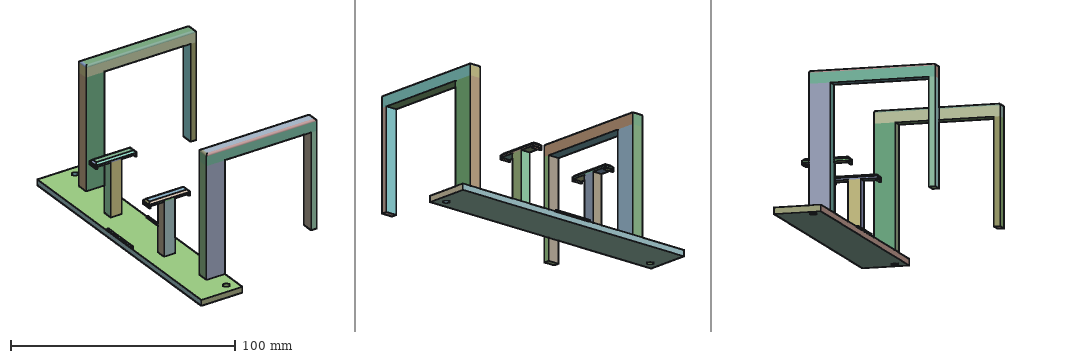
import cadquery as cq

PLATE_LENGTH = 132.5
PLATE_DEPTH = 22.0
PLATE_THICKNESS = 3.0
SCREW_HOLE_DIAMETER = 3.2
SCREW_HOLE_INSET = 5.2

TOTAL_DEPTH = 71.0
TOTAL_HEIGHT = 67.0
FRAME_WIDTH = 6.0
FRAME_LEFT_SIDES = (15.2, 112.5)
POST_DEPTH = 10.0
BEAM_HEIGHT = 6.0
BEAM_FILLET = 1.0
LEG_THICKNESS = 3.0
LEG_LENGTH = 50.0

HOOK_WIDTH = 5.0
HOOK_SPACING = 43.0
COLUMN_HEIGHT = 28.0
COLUMN_DEPTH = 6.0
BAR_THICKNESS = 2.0
BAR_CHAMFER = 1.0

LIP_SIZE = 1.0
LIP_FILLET = 0.46
RAIL_LENGTH = 19.9

plate_middle_x = PLATE_LENGTH / 2
beam_bottom = TOTAL_HEIGHT - BEAM_HEIGHT
beam_front = PLATE_DEPTH - POST_DEPTH
lip_front_sides = (0, PLATE_DEPTH - LIP_SIZE)
bar_bottom = PLATE_THICKNESS + COLUMN_HEIGHT


def block(x, y, z, length, depth, height):
    """Box with its lowest corner at (x, y, z)."""
    return cq.Workplane("XY").box(length, depth, height, centered=False).translate((x, y, z))


def make_plate():
    """Flat plate with a screw hole near each end."""
    plate = block(0, 0, 0, PLATE_LENGTH, PLATE_DEPTH, PLATE_THICKNESS)
    hole_y = PLATE_DEPTH - SCREW_HOLE_INSET
    hole_places = [(SCREW_HOLE_INSET, hole_y), (PLATE_LENGTH - SCREW_HOLE_INSET, hole_y)]
    holes = (
        cq.Workplane("XY")
        .pushPoints(hole_places)
        .circle(SCREW_HOLE_DIAMETER / 2)
        .extrude(PLATE_THICKNESS)
    )
    return plate.cut(holes)


def make_lip(left, y, z, length):
    """Bead along X with its four long edges rounded."""
    lip = block(left, y, z, length, LIP_SIZE, LIP_SIZE)
    return lip.edges("|X").fillet(LIP_FILLET)


def make_hook(left):
    """Column with a chamfered bar on top and a lip under each bar end."""
    column_front = (PLATE_DEPTH - COLUMN_DEPTH) / 2
    column = block(left, column_front, PLATE_THICKNESS, HOOK_WIDTH, COLUMN_DEPTH, COLUMN_HEIGHT)
    bar = block(left, 0, bar_bottom, HOOK_WIDTH, PLATE_DEPTH, BAR_THICKNESS)
    bar = bar.faces(">Z").edges().chamfer(BAR_CHAMFER)
    hook = column.union(bar, clean=False)
    for lip_y in lip_front_sides:
        hook = hook.union(make_lip(left, lip_y, bar_bottom - LIP_SIZE, HOOK_WIDTH), clean=False)
    return hook


def make_base():
    """Plate with hooks and rails in one piece."""
    base = make_plate()
    for offset in (-HOOK_SPACING / 2, HOOK_SPACING / 2):
        hook_left = plate_middle_x + offset - HOOK_WIDTH / 2
        base = base.union(make_hook(hook_left), clean=False)
    rail_left = plate_middle_x - RAIL_LENGTH / 2
    for rail_y in lip_front_sides:
        base = base.union(make_lip(rail_left, rail_y, PLATE_THICKNESS, RAIL_LENGTH), clean=False)
    return base


def make_frame(left):
    """Post standing on the plate, with a beam on top and a leg hanging from the beam's rear end."""
    post_height = beam_bottom - PLATE_THICKNESS
    post = block(left, beam_front, PLATE_THICKNESS, FRAME_WIDTH, POST_DEPTH, post_height)
    beam = block(left, beam_front, beam_bottom, FRAME_WIDTH, TOTAL_DEPTH - beam_front, BEAM_HEIGHT)
    beam = beam.faces(">Z").edges().fillet(BEAM_FILLET)
    leg_front = TOTAL_DEPTH - LEG_THICKNESS
    leg_bottom = beam_bottom - LEG_LENGTH
    leg = block(left, leg_front, leg_bottom, FRAME_WIDTH, LEG_THICKNESS, LEG_LENGTH)
    return post.union(beam, clean=False).union(leg, clean=False)


base = make_base()
frames = [make_frame(left) for left in FRAME_LEFT_SIDES]
result = cq.Compound.makeCompound([base.val(), *[frame.val() for frame in frames]])